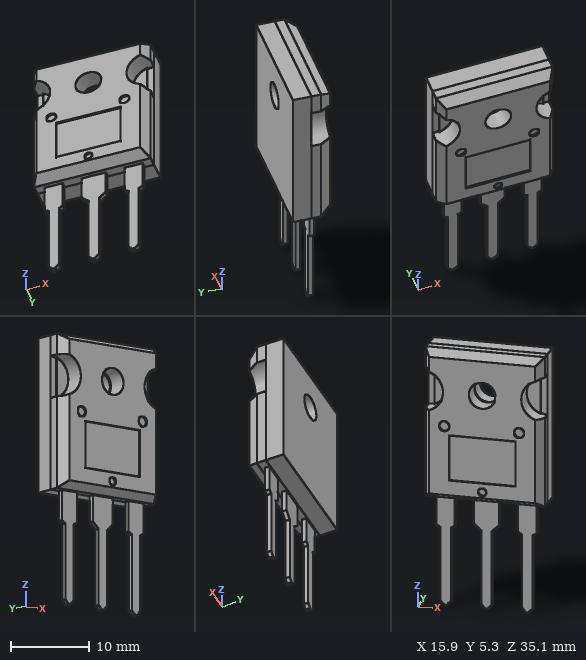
import cadquery as cq
import math


package_width = 15.9
package_height = 20.3
plate_thickness = 2.5
straight_depth = 1.3
bevel_depth = 1.5
bevel_angle = 30
housing_depth = straight_depth + bevel_depth
bevel_inset = bevel_depth * math.tan(math.radians(bevel_angle))
front_width = package_width - 2 * bevel_inset
front_height = package_height - 2 * bevel_inset
package_mid_z = package_height / 2

mount_z = package_height - 5.5
mount_hole_diameter = 3.5
notch_radius = 2.75

pad_thickness = 0.2

recess_depth = 0.2
panel_width = 8.85
panel_height = 6.1
panel_z = package_height - 14.35
upper_dimple_radius = 0.65
upper_dimple_z = package_height - 10.1
lower_dimple_radius = 0.53
lower_dimple_z = package_height - 18.6
dimples = [
    (-5.05, upper_dimple_z, upper_dimple_radius),
    (4.9, upper_dimple_z, upper_dimple_radius),
    (0, lower_dimple_z, lower_dimple_radius),
]

overall_height = 35.1
lead_pitch = 5.45
lead_length = overall_height - package_height
lead_thickness = 0.65
lead_gap = 0.1
lead_width = 1.4
lead_tip_width = 0.35
lead_tip_length = 0.53
shoulder_end = 4.3
outer_shoulder_width = 2.45
outer_shoulder_start = 4.0
middle_shoulder_width = 3.3
middle_shoulder_start = 3.45


def forward_block(width, height, back, depth):
    """Box centred on the package outline, running forward (-Y) from Y = -back."""
    return (
        cq.Workplane("XZ", origin=(0, -back, package_mid_z))
        .rect(width, height)
        .extrude(depth)
    )


def forward_cylinder(x, z, radius, back, depth):
    """Cylinder along Y, running forward (-Y) from Y = -back."""
    return cq.Workplane("XZ", origin=(x, -back, z)).circle(radius).extrude(depth)


def mounting_hole():
    """Cutter that passes through the whole package."""
    return forward_cylinder(
        0, mount_z, mount_hole_diameter / 2, -plate_thickness, plate_thickness + housing_depth
    )


def make_plate():
    plate = forward_block(package_width, package_height, -plate_thickness, plate_thickness)
    return plate.cut(mounting_hole())


def make_pad():
    pad = forward_block(front_width, front_height, 0, pad_thickness)
    return pad.cut(mounting_hole())


def make_housing():
    housing = forward_block(package_width, package_height, 0, straight_depth)
    bevel = (
        cq.Workplane("XZ", origin=(0, -straight_depth, package_mid_z))
        .rect(package_width, package_height)
        .extrude(bevel_depth, taper=bevel_angle)
    )
    housing = housing.union(bevel).cut(mounting_hole())

    housing = housing.cut(forward_block(front_width, front_height, 0, pad_thickness))

    for side in (-1, 1):
        housing = housing.cut(
            forward_cylinder(side * package_width / 2, mount_z, notch_radius, 0, housing_depth)
        )

    recess_floor = housing_depth - recess_depth
    panel = (
        cq.Workplane("XZ", origin=(0, -recess_floor, panel_z))
        .rect(panel_width, panel_height)
        .extrude(recess_depth)
    )
    housing = housing.cut(panel)
    for x, z, radius in dimples:
        housing = housing.cut(forward_cylinder(x, z, radius, recess_floor, recess_depth))
    return housing


def make_lead(x, shoulder_width, shoulder_start):
    """Flat lead hanging from the foot of the package, with a shoulder and a pointed tip."""
    right_edge = [
        (shoulder_width / 2, 0),
        (shoulder_width / 2, -shoulder_start),
        (lead_width / 2, -shoulder_end),
        (lead_width / 2, lead_tip_length - lead_length),
        (lead_tip_width / 2, -lead_length),
    ]
    left_edge = [(-half_width, z) for half_width, z in reversed(right_edge)]
    return (
        cq.Workplane("XZ", origin=(x, -lead_gap, 0))
        .polyline(right_edge + left_edge)
        .close()
        .extrude(lead_thickness)
    )


plate = make_plate()
pad = make_pad()
housing = make_housing()
middle_lead = make_lead(0, middle_shoulder_width, middle_shoulder_start)
outer_leads = [
    make_lead(side * lead_pitch, outer_shoulder_width, outer_shoulder_start) for side in (-1, 1)
]

result = cq.Compound.makeCompound([
    plate.val(),
    pad.val(),
    housing.val(),
    middle_lead.val(),
    *[lead.val() for lead in outer_leads],
])